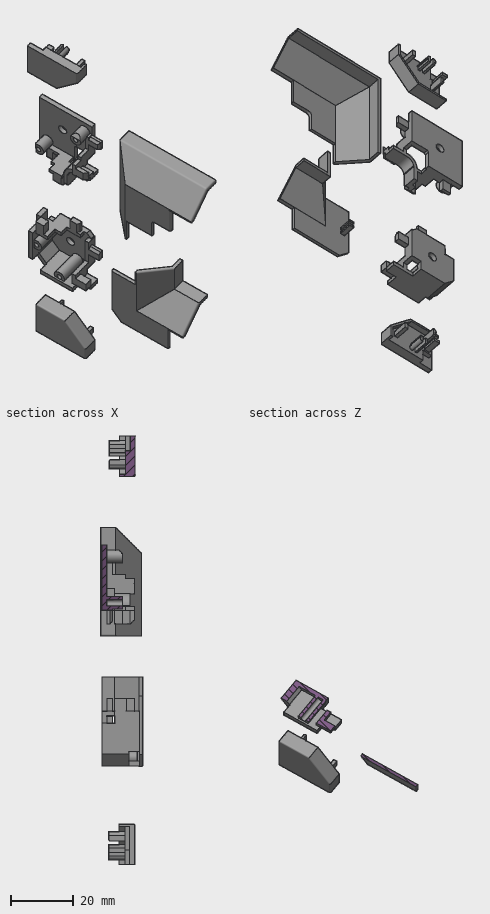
import cadquery as cq

FAR = 82.7
WALL_OVERLAP = 0.5
EDGE_ROUND = 0.5
COVER_WALL = 1.2

OUTER_CORNER = (-0.2, 0, 39.5)
OUTER_ARM = 35.0
OUTER_LIP = 9.0
OUTER_STEPS = (19.0, 26.6)
OUTER_STEP_ROUND = 1.4
OUTER_RIDGE_ROUND = 1.1
OUTER_BACK = 6.9
OUTER_FRONT = -6.3
OUTER_SLOPE_START = 2.0

INNER_CORNER = (21.8, 0, -18.5)
INNER_ARM = 9.9
INNER_LIP = 9.2
INNER_PLATE = 18.9
INNER_STEP = 3.9
INNER_CHAMFER = 3.9
INNER_BACK = 6.5
INNER_FRONT = -6.8
INNER_SLOPE_START = 1.9
POST_LEFT = -17.1
POST_WIDTH = 1.7
POST_HEIGHT = 0.8
POST_TOPS = (-5.8, -7.6)
POST_TIP = -0.8

CAP_WIDTH = 20.0
CAP_DEPTH = 13.1
CAP_SLOPE = 8.3
CAP_THICKNESS = 5.1
CAP_FACE = 1.7
CAP_RIM = 0.8
CAP_STEP = 1.5
CAP_STEP_INSET = 1.2
CAP_STEP_NOTCH_X = 5.0
CAP_STEP_NOTCH_Z = 4.7
CLIP_TIP = 3.3
CLIP_INSET = 0.4
CLIP_TONGUE_X = (2.3, 4.4)
CLIP_TONGUE_Z = (-6.5, -5.4)
CLIP_PEG_RADIUS = 1.2
CLIP_PEG_AXES = (8.3, 9.4)
CLIP_PEG_Z = -2.8
CLIP_HOOK_AXIS = (5.0, -9.4)
CLIP_HOOK_TOP = -7.6
CLIP_HOOK_BEVEL = 0.4
CLIP_SIDE_X = (15.6, 16.8)
CLIP_SIDE_Z = (-5.5, -3.3)
UPPER_CAP = (-32.7, 0.8, 68.9)
LOWER_CAP = (-29.4, 1.0, -68.9)

PLATE_BACK = 6.5
PLATE_FRONT = 4.8
SCREW_HOLE = 3.2
STRIP_FRONT = 3.0
WALL_FRONT = -4.0
STRAP_BACK = 2.3
PRONG_BEVEL = 0.8
BOSS_RADIUS = 2.0
BOSS_HOLE = 1.8

BASE_CORNER = (-13.5, 0, 12.8)
BASE_WIDTH = 21.2
BASE_HEIGHT = 21.1
BASE_HOLE_X = 11.9
BASE_HOLE_Z = 11.6
BASE_NOTCH = 7.0
BASE_NOTCH_CHAMFER = 0.5
BASE_WALL = 1.31
BASE_WALL_START = 5.2
BASE_WALL_STEPS = (10.2, 11.6)
BASE_WALL_END = 17.5
BASE_WALL_MIDDLE = -1.1
BASE_PRONG_REACH = 4.3
BASE_LOW_PRONG = (14.0, 17.2)
BASE_TALL_PRONG = (5.4, 8.7)
BASE_TALL_BACK = -2.6
BASE_TALL_BEVEL = 1.2
BASE_RIB_BACK = -0.1
BASE_RIB_WIDTH = 1.4
BASE_BOTTOM_SHIFT = 0.4
BASE_BOSS_ACROSS = 2.9
BASE_BOSS_ALONG = 17.4
BASE_BOSS_TIP = -0.2
BASE_BOSS_SLOPE = 18.5
BEND_RADIUS = 2.5
BEND_THICKNESS = 1.5
BEND_ACROSS = 1.7
BEND_ALONG = 1.5

BOX_CORNER = (-31.1, 0, -37.2)
BOX_SIZE = 17.6
BOX_SHELL = 1.7
BOX_WALL = 1.5
BOX_FRONT = -5.6
BOX_CHAMFER = 3.9
BOX_CHAMFER_FRONT = -2.2
BOX_WINDOW_EDGE = 4.7
BOX_PLATE_CHAMFER = 2.0
BOX_HOLE_PLACE = 9.0
BOX_GAP = 13.8
BOX_GAP_DEPTH = 3.7
BOX_STEPS = (6.3, 8.8)
BOX_TOP_MIDDLE = 0.0
BOX_TOP_END = 14.3
BOX_RIGHT_END = 16.0
BOX_PRONG_END = 21.8
BOX_STRAP_FRONT = -1.4
BOX_TALL_END = 4.8
BOX_LOW_PRONG = (10.0, 13.5)
BOX_BOSS = (2.6, 11.9)
BOX_BOSS_TIP = -5.0


def block(x_range, y_range, z_range):
    """Axis-aligned box between three pairs of limits."""
    ranges = (x_range, y_range, z_range)
    low = tuple(min(pair) for pair in ranges)
    size = [abs(pair[1] - pair[0]) for pair in ranges]
    return cq.Workplane("XY").box(*size, centered=False).translate(low)


def xz_prism(points, back, front):
    """Outline of (x, z) points between two y values."""
    return cq.Workplane("XZ").polyline(points).close().extrude(back - front).translate((0, back, 0))


def xy_prism(points, bottom, top):
    """Outline of (x, y) points between two z values."""
    return cq.Workplane("XY").polyline(points).close().extrude(top - bottom).translate((0, 0, bottom))


def yz_prism(points, left, right):
    """Outline of (y, z) points between two x values."""
    return cq.Workplane("YZ").polyline(points).close().extrude(right - left).translate((left, 0, 0))


def rod(x, z, radius, back, front):
    """Cylinder along Y."""
    return cq.Workplane("XZ").center(x, z).circle(radius).extrude(back - front).translate((0, back, 0))


def mirror_falling(body):
    """Mirror about the plane x = -z."""
    return body.mirror((1, 0, 1))


def mirror_rising(body):
    """Mirror about the plane x = z."""
    return body.mirror((1, 0, -1))


def round_edge(body, middle, radius):
    """Round the one edge whose middle lies nearest to the given point."""
    return body.edges(cq.selectors.NearestToPointSelector(middle)).fillet(radius)


def corner_shift(wall):
    """Move of a 135 degree corner along its sides when both sides move in by wall."""
    return wall * (2 ** 0.5 - 1)


def outer_volume(wall):
    """Space shared by both arms, moved in by wall: side walls, 45 degree slopes and front."""
    start = OUTER_SLOPE_START + corner_shift(wall)
    front = OUTER_FRONT + wall
    section = [(wall, FAR), (wall, start), (wall + start - front, front), (FAR, front), (FAR, FAR)]
    arm = xy_prism(section, -FAR, FAR)
    return arm.intersect(mirror_falling(arm))


def make_outer_cover():
    near, far = OUTER_STEPS
    plan = xz_prism(
        [
            (0, 0), (OUTER_ARM, 0), (OUTER_ARM, -OUTER_LIP), (far, -OUTER_LIP), (far, -near),
            (near, -near), (near, -far), (OUTER_LIP, -far), (OUTER_LIP, -OUTER_ARM), (0, -OUTER_ARM),
        ],
        OUTER_BACK, OUTER_FRONT,
    )
    middle_y = (OUTER_BACK + OUTER_FRONT) / 2
    side_middle_y = (OUTER_BACK + OUTER_SLOPE_START) / 2
    plan = round_edge(plan, (near, middle_y, -near), OUTER_STEP_ROUND)
    solid = outer_volume(0).intersect(plan)
    solid = round_edge(solid, (OUTER_ARM / 2, OUTER_SLOPE_START, 0), OUTER_RIDGE_ROUND)
    for edge_middle in (
        (far, OUTER_FRONT, -(near + OUTER_LIP) / 2),
        ((OUTER_LIP + near) / 2, OUTER_FRONT, -far),
        (OUTER_ARM, side_middle_y, 0),
        (0, side_middle_y, -OUTER_ARM),
    ):
        solid = round_edge(solid, edge_middle, EDGE_ROUND)
    return solid.cut(outer_volume(COVER_WALL)).translate(OUTER_CORNER)


def inner_volume(wall):
    """Space behind either arm, moved in by wall."""
    start = INNER_SLOPE_START + corner_shift(wall)
    front = INNER_FRONT + wall
    section = [(-wall, FAR), (-wall, start), (front - start - wall, front), (-FAR, front), (-FAR, FAR)]
    arm = xy_prism(section, -FAR, FAR)
    return arm.union(mirror_rising(arm))


def make_inner_cover():
    far = INNER_PLATE
    plan = xz_prism(
        [
            (0, 0), (0, INNER_ARM), (-INNER_LIP, INNER_ARM), (-INNER_LIP, INNER_STEP), (-far, INNER_STEP),
            (-far, INNER_CHAMFER - far), (INNER_CHAMFER - far, -far), (INNER_STEP, -far),
            (INNER_STEP, -INNER_LIP), (INNER_ARM, -INNER_LIP), (INNER_ARM, 0),
        ],
        INNER_BACK, INNER_FRONT,
    )
    solid = inner_volume(0).intersect(plan)
    solid = solid.faces("<Y").edges("<X or <Z or (not (|X or |Z))").fillet(EDGE_ROUND)
    slope_middle_y = (INNER_FRONT + INNER_SLOPE_START) / 2
    slope_middle = (INNER_FRONT - INNER_SLOPE_START) / 2
    for edge_middle in ((INNER_ARM, slope_middle_y, slope_middle), (slope_middle, slope_middle_y, INNER_ARM)):
        solid = round_edge(solid, edge_middle, EDGE_ROUND)
    cover = solid.cut(inner_volume(COVER_WALL))
    for top in POST_TOPS:
        post = block(
            (POST_LEFT, POST_LEFT + POST_WIDTH), (POST_TIP, INNER_FRONT + COVER_WALL - WALL_OVERLAP),
            (top - POST_HEIGHT, top),
        )
        cover = cover.union(post)
    return cover.translate(INNER_CORNER)


def cap_corners(inset):
    """The three free corners of the cap outline moved in by inset, from the right side on."""
    right = CAP_WIDTH - inset
    bottom = inset - CAP_DEPTH
    return [
        (right, CAP_SLOPE - CAP_DEPTH + corner_shift(inset)),
        (CAP_WIDTH - CAP_SLOPE - corner_shift(inset), bottom),
        (0, bottom),
    ]


def cap_clips(base):
    """Tongue, split peg, hook and side clip, all growing back from y = base."""
    depth = (base, CLIP_TIP)
    clips = block(CLIP_TONGUE_X, depth, CLIP_TONGUE_Z)
    clips = clips.union(block(CLIP_SIDE_X, depth, CLIP_SIDE_Z))
    for axis, side in zip(CLIP_PEG_AXES, (-1, 1)):
        quarter = block(
            (axis, axis + side * CLIP_PEG_RADIUS), depth, (CLIP_PEG_Z, CLIP_PEG_Z + CLIP_PEG_RADIUS)
        ).intersect(rod(axis, CLIP_PEG_Z, CLIP_PEG_RADIUS, CLIP_TIP, base))
        flat = block(
            (axis, axis + side * (CLIP_PEG_RADIUS - CLIP_INSET)), depth,
            (CLIP_PEG_Z - CLIP_PEG_RADIUS, CLIP_PEG_Z),
        )
        clips = clips.union(quarter).union(flat)
    hook_x, hook_z = CLIP_HOOK_AXIS
    round_part = block((hook_x - CLIP_PEG_RADIUS, hook_x), depth, (hook_z - CLIP_PEG_RADIUS, hook_z))
    round_part = round_part.intersect(rod(hook_x, hook_z, CLIP_PEG_RADIUS, CLIP_TIP, base))
    flat_part = block((hook_x - CLIP_PEG_RADIUS + CLIP_INSET, hook_x), depth, (hook_z, CLIP_HOOK_TOP))
    flat_part = flat_part.edges(">Y and >Z").chamfer(CLIP_HOOK_BEVEL)
    return clips.union(round_part).union(flat_part)


def make_cap():
    face_back = CAP_FACE - CAP_THICKNESS
    cap = xz_prism([(0, 0), (CAP_WIDTH, 0), *cap_corners(0)], 0, -CAP_THICKNESS)
    cap = cap.faces("<Y").edges("not (<X or >Z)").fillet(EDGE_ROUND)

    right = CAP_WIDTH - CAP_RIM
    side_corner, slope_corner, left_corner = cap_corners(CAP_RIM)
    hollow = [(0, 0), (right, 0), side_corner, slope_corner, left_corner]
    cap = cap.cut(xz_prism(hollow, 0, face_back))

    step = [
        (CAP_STEP_INSET, left_corner[1]), (CAP_STEP_INSET, -CAP_STEP_NOTCH_Z),
        (CAP_STEP_NOTCH_X, -CAP_STEP_NOTCH_Z), (CAP_STEP_NOTCH_X, 0), (right, 0), side_corner, slope_corner,
    ]
    cap = cap.union(xz_prism(step, face_back + CAP_STEP, face_back))
    return cap.union(cap_clips(face_back))


def boss(x, z, tip):
    post = rod(x, z, BOSS_RADIUS, PLATE_FRONT, tip)
    return post.cut(rod(x, z, BOSS_HOLE / 2, PLATE_FRONT, tip))


def base_arm():
    """Right wall with its prongs, strap and boss."""
    first_step, second_step = BASE_WALL_STEPS
    prong_x = (-BASE_WALL, BASE_PRONG_REACH)
    strap_start = BEND_ALONG + BEND_RADIUS
    strap_end = strap_start + BEND_THICKNESS
    wall = yz_prism(
        [
            (PLATE_FRONT, BASE_NOTCH), (PLATE_FRONT, BASE_WALL_END), (STRIP_FRONT, BASE_WALL_END),
            (STRIP_FRONT, second_step), (BASE_WALL_MIDDLE, second_step), (BASE_WALL_MIDDLE, first_step),
            (WALL_FRONT, first_step), (WALL_FRONT, BASE_WALL_START), (STRAP_BACK, BASE_WALL_START),
            (STRAP_BACK, BASE_NOTCH),
        ],
        -BASE_WALL, 0,
    )
    low = block(prong_x, (PLATE_FRONT, STRIP_FRONT), BASE_LOW_PRONG)
    low = low.edges("(>X or >Z) and <Y").chamfer(PRONG_BEVEL)
    tall = block(prong_x, (BASE_TALL_BACK, WALL_FRONT), BASE_TALL_PRONG)
    tall = tall.edges(">X and <Y").chamfer(BASE_TALL_BEVEL)
    rib_start = BASE_TALL_PRONG[0]
    rib = block(prong_x, (BASE_RIB_BACK, BASE_TALL_BACK), (rib_start, rib_start + BASE_RIB_WIDTH))
    strap = block((-BEND_ACROSS, BASE_PRONG_REACH), (STRAP_BACK, BASE_TALL_BACK), (strap_start, strap_end))
    strap = strap.edges(">X and <Y").chamfer(PRONG_BEVEL)
    return wall.union(low).union(tall).union(rib).union(strap)


def base_boss():
    """Boss of the right wall, its tip cut at 45 degrees to clear the cover slope."""
    post = boss(-BASE_BOSS_ACROSS, BASE_BOSS_ALONG, BASE_BOSS_TIP)
    beyond_slope = yz_prism(
        [(-FAR, BASE_BOSS_SLOPE - FAR), (FAR, BASE_BOSS_SLOPE + FAR), (-FAR, BASE_BOSS_SLOPE + FAR)],
        -FAR, FAR,
    )
    return post.cut(beyond_slope)


def make_outer_base():
    notch = BASE_NOTCH
    bevelled = BASE_NOTCH - BASE_NOTCH_CHAMFER
    base = xz_prism(
        [
            (-BASE_WIDTH, 0), (-BASE_WIDTH, BASE_HEIGHT), (0, BASE_HEIGHT), (0, notch),
            (-bevelled, notch), (-notch, bevelled), (-notch, 0),
        ],
        PLATE_BACK, PLATE_FRONT,
    )
    base = base.cut(rod(-BASE_HOLE_X, BASE_HOLE_Z, SCREW_HOLE / 2, PLATE_BACK, PLATE_FRONT))
    arm = base_arm()
    post = base_boss()
    base = base.union(arm).union(mirror_falling(arm).translate((-BASE_BOTTOM_SHIFT, 0, 0)))
    base = base.union(post)
    base = base.union(mirror_falling(post).translate((-BASE_BOTTOM_SHIFT, 0, -BASE_BOTTOM_SHIFT)))

    centre = (-BEND_ACROSS, BEND_ALONG)
    bend = rod(*centre, BEND_RADIUS + BEND_THICKNESS, STRAP_BACK, BASE_TALL_BACK)
    bend = bend.cut(rod(*centre, BEND_RADIUS, STRAP_BACK, BASE_TALL_BACK))
    bend = bend.intersect(block((-FAR, -BEND_ACROSS), (STRAP_BACK, BASE_TALL_BACK), (BEND_ALONG, FAR)))
    return base.union(bend).translate(BASE_CORNER)


def box_half(middle_front, wall_end):
    """Left and top wall with prongs and boss; mirrored, it gives the floor and right wall."""
    first_step, second_step = BOX_STEPS
    wall_z = BOX_SIZE - BOX_WALL
    left = yz_prism(
        [
            (PLATE_BACK, BOX_CHAMFER), (PLATE_BACK, BOX_GAP), (STRAP_BACK, BOX_GAP),
            (STRAP_BACK, BOX_PRONG_END), (BOX_STRAP_FRONT, BOX_PRONG_END), (BOX_STRAP_FRONT, BOX_SIZE),
            (BOX_FRONT, BOX_SIZE), (BOX_FRONT, BOX_WINDOW_EDGE), (BOX_CHAMFER_FRONT, BOX_WINDOW_EDGE),
            (BOX_CHAMFER_FRONT, BOX_CHAMFER),
        ],
        0, BOX_SHELL,
    )
    top = block((BOX_SHELL, BOX_GAP_DEPTH), (STRAP_BACK, WALL_FRONT), (wall_z, BOX_SIZE))
    for end, front in ((first_step, WALL_FRONT), (second_step, middle_front), (wall_end, STRIP_FRONT)):
        top = top.union(block((BOX_GAP_DEPTH, end), (PLATE_BACK, front), (wall_z, BOX_SIZE)))
    tall = block((BOX_SHELL, BOX_TALL_END), (BOX_STRAP_FRONT, WALL_FRONT), (wall_z, BOX_PRONG_END))
    low = block(BOX_LOW_PRONG, (PLATE_FRONT, STRIP_FRONT), (wall_z, BOX_PRONG_END))
    low = low.edges(">X and <Y").chamfer(PRONG_BEVEL)
    post = boss(*BOX_BOSS, BOX_BOSS_TIP)
    post = post.intersect(block((BOX_SHELL / 2, FAR), (PLATE_BACK, BOX_FRONT), (0, FAR)))
    return left.union(top).union(tall).union(low).union(post)


def make_inner_base():
    chamfer = BOX_CHAMFER
    inner = chamfer + corner_shift(BOX_SHELL)
    chamfer_wall = xz_prism(
        [(0, chamfer), (chamfer, 0), (inner, BOX_SHELL), (BOX_SHELL, inner)], PLATE_BACK, BOX_CHAMFER_FRONT
    )
    cut_corner = BOX_SIZE - BOX_PLATE_CHAMFER
    base = xz_prism(
        [
            (0, chamfer), (0, BOX_GAP), (BOX_GAP_DEPTH, BOX_GAP), (BOX_GAP_DEPTH, BOX_SIZE),
            (cut_corner, BOX_SIZE), (BOX_SIZE, cut_corner),
            (BOX_SIZE, BOX_GAP_DEPTH), (BOX_GAP, BOX_GAP_DEPTH), (BOX_GAP, 0), (chamfer, 0),
        ],
        PLATE_BACK, PLATE_FRONT,
    )
    base = base.cut(rod(BOX_HOLE_PLACE, BOX_HOLE_PLACE, SCREW_HOLE / 2, PLATE_BACK, PLATE_FRONT))
    base = base.union(chamfer_wall)
    base = base.union(box_half(BOX_TOP_MIDDLE, BOX_TOP_END))
    base = base.union(mirror_rising(box_half(STRIP_FRONT, BOX_RIGHT_END)))
    return base.translate(BOX_CORNER)


outer_cover = make_outer_cover()
inner_cover = make_inner_cover()
outer_base = make_outer_base()
inner_base = make_inner_base()
upper_cap = make_cap().translate(UPPER_CAP)
lower_cap = make_cap().mirror("XY").translate(LOWER_CAP)

bodies = (outer_cover, inner_cover, outer_base, inner_base, upper_cap, lower_cap)
result = cq.Compound.makeCompound([body.solids().val() for body in bodies])